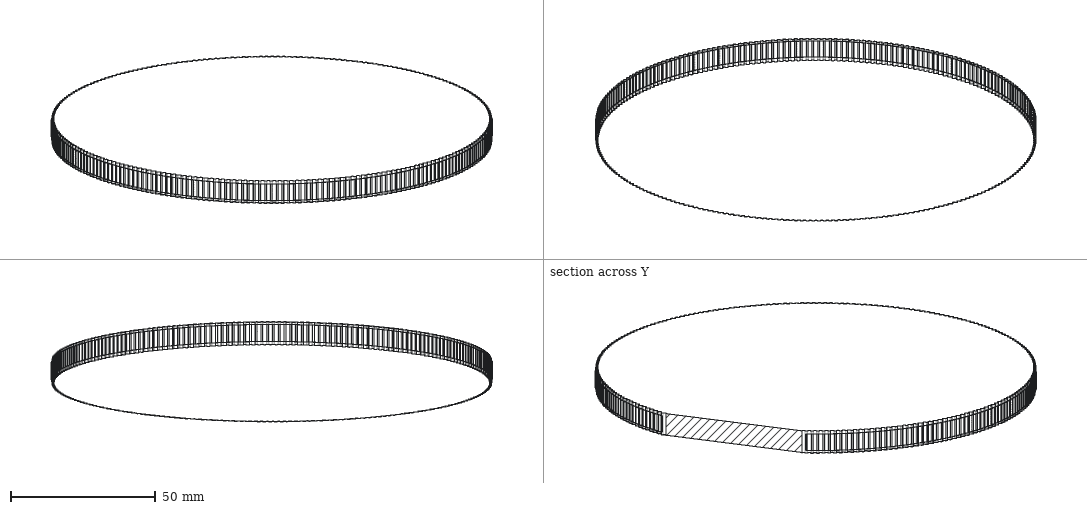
import cadquery as cq
import math

tooth_count = 240
tooth_pitch = 2.0
thickness = 8.0

pitch_line_offset = 0.254
root_radius = 0.575
tip_fillet_radius = 0.15
groove_depth = root_radius + tip_fillet_radius

band_inset = 1.0
band_width = thickness - 2 * band_inset

pitch_radius = tooth_count * tooth_pitch / (2 * math.pi)
tip_radius = pitch_radius - pitch_line_offset
pitch_angle = 2 * math.pi / tooth_count

mouth_half_width = root_radius + tip_fillet_radius
mouth_height = math.sqrt(tip_radius**2 - mouth_half_width**2)
mouth_half_angle = math.asin(mouth_half_width / tip_radius)


def rim_point(radius, angle):
    return cq.Vector(radius * math.cos(angle), radius * math.sin(angle))


def rim_arc(radius, start_angle, end_angle):
    middle_angle = (start_angle + end_angle) / 2
    return cq.Edge.makeThreePointArc(*[rim_point(radius, a) for a in (start_angle, middle_angle, end_angle)])


def groove_edges(angle):
    """Edges of one groove from mouth corner to mouth corner, counterclockwise around the wheel."""

    def place(offset, depth):
        height = mouth_height - depth
        return cq.Vector(
            height * math.cos(angle) - offset * math.sin(angle),
            height * math.sin(angle) + offset * math.cos(angle),
        )

    fillet_shift = tip_fillet_radius * math.sqrt(0.5)
    fillet_middle_offset = mouth_half_width - fillet_shift
    fillet_middle_depth = tip_fillet_radius - fillet_shift
    points = [
        place(-mouth_half_width, 0),
        place(-fillet_middle_offset, fillet_middle_depth),
        place(-root_radius, tip_fillet_radius),
        place(0, groove_depth),
        place(root_radius, tip_fillet_radius),
        place(fillet_middle_offset, fillet_middle_depth),
        place(mouth_half_width, 0),
    ]
    return [cq.Edge.makeThreePointArc(*points[first : first + 3]) for first in (0, 2, 4)]


groove_angles = [(index + 0.5) * pitch_angle for index in range(tooth_count)]


def extrude_layer(outline, holes, bottom, height):
    layer = cq.Solid.extrudeLinear(outline, holes, cq.Vector(0, 0, height))
    return layer.translate(cq.Vector(0, 0, bottom))


def make_toothed_layer(bottom):
    """End layer with open grooves and tooth tips on the tip circle."""
    edges = []
    for angle in groove_angles:
        edges += groove_edges(angle)
        edges.append(rim_arc(tip_radius, angle + mouth_half_angle, angle + pitch_angle - mouth_half_angle))
    return extrude_layer(cq.Wire.assembleEdges(edges), [], bottom, band_inset)


def make_banded_layer():
    """Middle layer, where the band turns every groove into a closed channel."""
    outline = cq.Wire.makeCircle(pitch_radius, cq.Vector(0, 0, 0), cq.Vector(0, 0, 1))
    channels = []
    for angle in groove_angles:
        closing_arc = rim_arc(tip_radius, angle + mouth_half_angle, angle - mouth_half_angle)
        channels.append(cq.Wire.assembleEdges(groove_edges(angle) + [closing_arc]))
    return extrude_layer(outline, channels, band_inset, band_width)


lower_end = make_toothed_layer(0)
upper_end = make_toothed_layer(thickness - band_inset)
result = cq.Workplane(make_banded_layer().fuse(lower_end, upper_end, glue=True).clean())